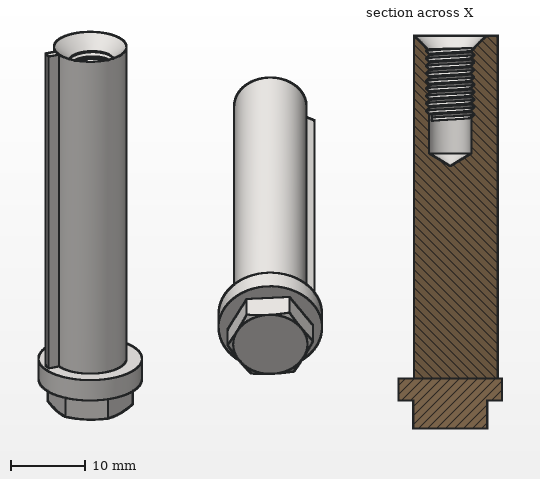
import cadquery as cq
import math

TOTAL_LENGTH = 53.0

HEX_ACROSS_FLATS = 10.0
HEX_HEIGHT = 3.75
HEX_CHAMFER_ANGLE = 20.0
FLANGE_DIAMETER = 14.0
FLANGE_THICKNESS = 3.0

STEM_DIAMETER = 9.8
KEY_WIDTH = 1.1
KEY_REACH = 6.4

BORE_DIAMETER = 5.6
BORE_DEPTH = 15.9
DRILL_POINT_ANGLE = 118.0

THREAD_PITCH = 1.0
THREAD_TURNS = 10
THREAD_DEPTH = 0.4
THREAD_MOUTH = 0.85
THREAD_END_ANGLE = 60.0
CUTTER_OVERLAP = 0.15

flange_top = HEX_HEIGHT + FLANGE_THICKNESS
stem_length = TOTAL_LENGTH - flange_top
stem_radius = STEM_DIAMETER / 2
bore_radius = BORE_DIAMETER / 2

thread_top = TOTAL_LENGTH - THREAD_PITCH
thread_length = THREAD_TURNS * THREAD_PITCH


def chamfered_hexagon():
    """Hexagonal prism whose lower corners are turned off by a cone."""
    flat_radius = HEX_ACROSS_FLATS / 2
    corner_radius = flat_radius / math.cos(math.radians(30))
    chamfer_height = (corner_radius - flat_radius) * math.tan(math.radians(HEX_CHAMFER_ANGLE))
    prism = cq.Workplane("XY").polygon(6, 2 * corner_radius).extrude(HEX_HEIGHT)
    turned_envelope = (
        cq.Workplane("XZ")
        .moveTo(0, 0)
        .lineTo(flat_radius, 0)
        .lineTo(corner_radius, chamfer_height)
        .lineTo(corner_radius, HEX_HEIGHT)
        .lineTo(0, HEX_HEIGHT)
        .close()
        .revolve()
    )
    return prism.intersect(turned_envelope)


def make_head():
    """Hexagon and flange as one solid."""
    flange = (
        cq.Workplane("XY", origin=(0, 0, HEX_HEIGHT))
        .circle(FLANGE_DIAMETER / 2)
        .extrude(FLANGE_THICKNESS)
    )
    return chamfered_hexagon().union(flange)


def blind_hole():
    """Countersink, bore and drill point as one turned shape."""
    countersink_bottom = TOTAL_LENGTH - (stem_radius - bore_radius)
    bore_floor = TOTAL_LENGTH - BORE_DEPTH
    drill_point_depth = bore_radius / math.tan(math.radians(DRILL_POINT_ANGLE / 2))
    return (
        cq.Workplane("XZ")
        .moveTo(0, TOTAL_LENGTH)
        .lineTo(stem_radius, TOTAL_LENGTH)
        .lineTo(bore_radius, countersink_bottom)
        .lineTo(bore_radius, bore_floor)
        .lineTo(0, bore_floor - drill_point_depth)
        .close()
        .revolve()
    )


def thread_groove():
    """Helical V-groove: one ruled face per side of its section and a flat cap at each end."""
    inner_radius = bore_radius - CUTTER_OVERLAP
    half_mouth = THREAD_MOUTH / 2
    section = [
        (inner_radius, -half_mouth),
        (bore_radius, -half_mouth),
        (bore_radius + THREAD_DEPTH, 0),
        (bore_radius, half_mouth),
        (inner_radius, half_mouth),
    ]
    helices = [
        cq.Wire.makeHelix(
            THREAD_PITCH, thread_length, radius, center=cq.Vector(0, 0, height), lefthand=True
        ).Edges()[0]
        for radius, height in section
    ]
    sides = [
        cq.Face.makeRuledSurface(helix, next_helix)
        for helix, next_helix in zip(helices, helices[1:] + helices[:1])
    ]
    lower_corners = [helix.startPoint() for helix in helices]
    upper_corners = [helix.endPoint() for helix in helices]
    caps = [
        cq.Face.makeFromWires(cq.Wire.makePolygon(corners, close=True))
        for corners in (lower_corners, upper_corners)
    ]
    groove = cq.Workplane(obj=cq.Solid.makeSolid(cq.Shell.makeShell(sides + caps)))
    turned = groove.rotate((0, 0, 0), (0, 0, 1), THREAD_END_ANGLE)
    return turned.translate((0, 0, thread_top - thread_length))


def make_stem():
    """Keyed stem with its threaded hole, standing on the flange."""
    base = cq.Workplane("XY", origin=(0, 0, flange_top))
    bar = base.circle(stem_radius).extrude(stem_length)
    key = base.center(0, -KEY_REACH / 2).rect(KEY_WIDTH, KEY_REACH).extrude(stem_length)
    return bar.union(key).cut(blind_hole()).cut(thread_groove())


head = make_head()
stem = make_stem()
result = cq.Compound.makeCompound([head.val(), *stem.solids().vals()])